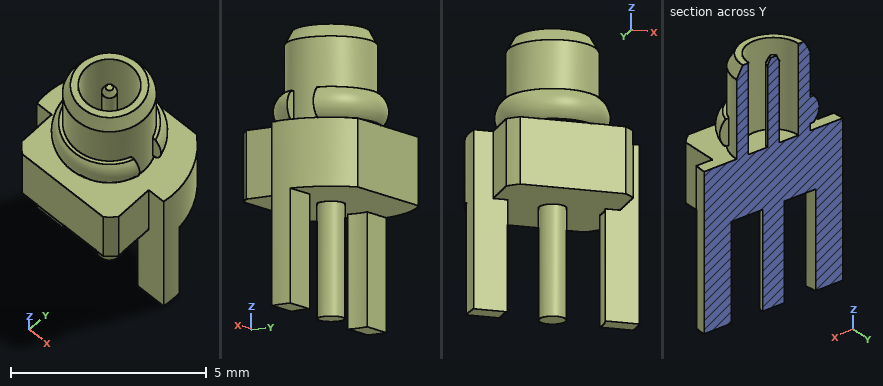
import cadquery as cq

base_radius = 2.25
base_depth = 3.5
base_height = 1.8
front_half_width = 1.7
step_y = -0.35

tail_length = 3.0
leg_inner_radius = 1.355
leg_thickness = 0.58
tail_radius = 0.36

barrel_radius = 1.2
barrel_height = 2.7
bore_radius = 0.8
bevel_width = 0.2
bevel_height = 0.36

pin_radius = 0.2
pin_tip_radius = 0.1
pin_tip_length = 0.2
pin_recess = 0.1

ring_radius = 1.485
ring_edge_radius = 1.3
ring_height = 0.8
ring_lift = 0.2
ring_gap = 0.8

barrel_top = base_height + barrel_height


def make_base():
    """Disc trimmed at front and back, with its front part narrowed by the side steps."""
    disc = cq.Workplane("XY").circle(base_radius).extrude(base_height)
    rear_depth = base_depth / 2 - step_y
    rear = (
        cq.Workplane("XY")
        .center(0, step_y + rear_depth / 2)
        .rect(2 * base_radius, rear_depth)
        .extrude(base_height)
    )
    front = cq.Workplane("XY").rect(2 * front_half_width, base_depth).extrude(base_height)
    return disc.intersect(rear.union(front))


def make_legs():
    """Two legs cut from a tube about Z, running up to the base top."""
    leg_height = tail_length + base_height
    tube = (
        cq.Workplane("XY", origin=(0, 0, -tail_length))
        .circle(base_radius)
        .circle(leg_inner_radius)
        .extrude(leg_height)
    )
    slab = (
        cq.Workplane("XY", origin=(0, step_y + leg_thickness / 2, -tail_length))
        .rect(2 * base_radius, leg_thickness)
        .extrude(leg_height)
    )
    return tube.intersect(slab)


def make_tail():
    return cq.Workplane("XY").circle(tail_radius).extrude(-tail_length)


def make_barrel():
    """Tube with a bevelled rim; its bore is floored by the base top."""
    return (
        cq.Workplane("XZ")
        .moveTo(bore_radius, base_height)
        .lineTo(bore_radius, barrel_top)
        .lineTo(barrel_radius - bevel_width, barrel_top)
        .lineTo(barrel_radius, barrel_top - bevel_height)
        .lineTo(barrel_radius, base_height)
        .close()
        .revolve()
    )


def make_ring():
    """Snap ring with a bulging outer face, split on the +X side."""
    ring_bottom = base_height + ring_lift
    ring_top = ring_bottom + ring_height
    ring_inner = (bore_radius + barrel_radius) / 2
    ring = (
        cq.Workplane("XZ")
        .moveTo(ring_inner, ring_bottom)
        .lineTo(ring_edge_radius, ring_bottom)
        .threePointArc((ring_radius, ring_bottom + ring_height / 2), (ring_edge_radius, ring_top))
        .lineTo(ring_inner, ring_top)
        .close()
        .revolve()
    )
    gap = (
        cq.Workplane("XY", origin=(ring_radius / 2, 0, ring_bottom))
        .rect(ring_radius, ring_gap)
        .extrude(ring_height)
    )
    return ring.cut(gap)


def make_pin():
    """Contact pin with a conical tip, revolved about Z."""
    pin_top = barrel_top - pin_recess
    return (
        cq.Workplane("XZ")
        .moveTo(0, base_height)
        .lineTo(pin_radius, base_height)
        .lineTo(pin_radius, pin_top - pin_tip_length)
        .lineTo(pin_tip_radius, pin_top)
        .lineTo(0, pin_top)
        .close()
        .revolve()
    )


result = (
    make_base()
    .union(make_legs())
    .union(make_tail())
    .union(make_barrel())
    .union(make_ring())
    .union(make_pin())
)